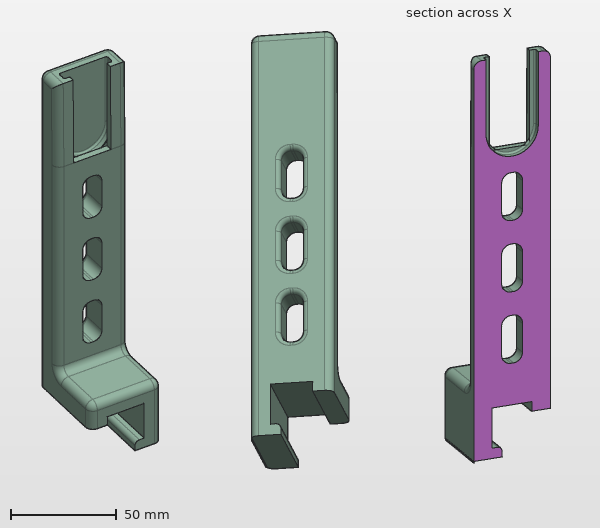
import cadquery as cq

LENGTH = 46.0
WIDTH = 40.0
HEIGHT = 204.0

POST_DEPTH = 16.0
POST_TOP_DEPTH = 15.3
DRAFT_START_Z = 156.0
FOOT_TOP_Z = 36.1
EDGE_RADIUS = 4.0

RAIL_WIDTH = 20.5
RAIL_CEILING_Z = 26.3
OPEN_SIDE_Z = 21.5
HOOK_TOP_Z = 6.1
HOOK_TIP_Y = 5.0
HOOK_RADIUS = 2.5
HOOK_BOTTOM_Z = 0.6
LIP_THICKNESS = 0.5

SLOT_WIDTH = 10.6
SLOT_LENGTH = 24.0
SLOT_CORNER_RADIUS = 4.7
SLOT_RIM_RADIUS = 2.5
SLOT_COUNT = 3
SLOT_PITCH = 36.3
LOWEST_SLOT_Z = 59.8
RIM_SEARCH_MARGIN = 0.2

CHANNEL_FRONT_X = 7.3
CHANNEL_BACK_X = 12.2
CHANNEL_WIDTH = 27.0
CHANNEL_EDGE_RADIUS = 1.0
NECK_WIDTH = 20.8
NECK_FLOOR_Z = DRAFT_START_Z
CHANNEL_FLOOR_Z = NECK_FLOOR_Z - (CHANNEL_WIDTH - NECK_WIDTH) / 2

HALF_WIDTH = WIDTH / 2


def make_body():
    """L-shaped body with rounded outer edges; the back edge on top stays sharp."""
    bend = EDGE_RADIUS
    body = (
        cq.Workplane("XZ")
        .moveTo(0, 0)
        .lineTo(LENGTH, 0)
        .lineTo(LENGTH, FOOT_TOP_Z)
        .lineTo(POST_DEPTH + bend, FOOT_TOP_Z)
        .radiusArc((POST_DEPTH, FOOT_TOP_Z + bend), bend)
        .lineTo(POST_DEPTH, DRAFT_START_Z)
        .lineTo(POST_TOP_DEPTH, HEIGHT)
        .lineTo(0, HEIGHT)
        .close()
        .extrude(HALF_WIDTH, both=True)
    )
    side_edges = body.faces("<Y or >Y").edges("not <Z")
    front_top_edge = body.faces("<X").edges(">Z")
    foot_end_edge = body.faces(">X").edges(">Z")
    return side_edges.add(front_top_edge).add(foot_end_edge).fillet(EDGE_RADIUS)


def make_rail_opening():
    """Everything removed along X to leave the rail slot and its hook."""
    half_rail = RAIL_WIDTH / 2
    return (
        cq.Workplane("YZ")
        .moveTo(-HALF_WIDTH, 0)
        .lineTo(-HALF_WIDTH, OPEN_SIDE_Z)
        .lineTo(-half_rail, OPEN_SIDE_Z)
        .lineTo(-half_rail, RAIL_CEILING_Z)
        .lineTo(half_rail, RAIL_CEILING_Z)
        .lineTo(half_rail, HOOK_TOP_Z)
        .lineTo(HOOK_TIP_Y + HOOK_RADIUS, HOOK_TOP_Z)
        .radiusArc((HOOK_TIP_Y, HOOK_TOP_Z - HOOK_RADIUS), -HOOK_RADIUS)
        .lineTo(HOOK_TIP_Y, HOOK_BOTTOM_Z)
        .lineTo(HALF_WIDTH, HOOK_BOTTOM_Z)
        .lineTo(HALF_WIDTH, 0)
        .close()
        .extrude(LENGTH)
    )


def make_lip():
    """Thin lip below the hook, on the flat part of the +Y side."""
    corner = (EDGE_RADIUS, HALF_WIDTH - LIP_THICKNESS, 0)
    return cq.Workplane("XY", origin=corner).box(
        LENGTH - 2 * EDGE_RADIUS, LIP_THICKNESS, HOOK_TOP_Z, centered=False
    )


def cut_slots(body):
    """Row of slots through the post, each with a rounded rim on the front face."""
    for index in range(SLOT_COUNT):
        center_z = LOWEST_SLOT_Z + index * SLOT_PITCH
        slot = (
            cq.Workplane("XY")
            .box(POST_DEPTH, SLOT_WIDTH, SLOT_LENGTH, centered=(False, True, True))
            .edges("|X")
            .fillet(SLOT_CORNER_RADIUS)
            .translate((0, 0, center_z))
        )
        body = body.cut(slot)
    rims = body.edges(
        cq.selectors.BoxSelector(
            (-RIM_SEARCH_MARGIN, -SLOT_WIDTH, LOWEST_SLOT_Z - SLOT_LENGTH),
            (RIM_SEARCH_MARGIN, SLOT_WIDTH, CHANNEL_FLOOR_Z),
        )
    )
    return rims.fillet(SLOT_RIM_RADIUS)


def make_channel():
    """Round-bottomed wide pocket plus the flat-bottomed neck behind it."""
    radius = CHANNEL_WIDTH / 2
    center_z = CHANNEL_FLOOR_Z + radius
    pocket = (
        cq.Workplane("YZ", origin=(CHANNEL_FRONT_X, 0, 0))
        .moveTo(-radius, HEIGHT + radius)
        .lineTo(-radius, center_z)
        .threePointArc((0, CHANNEL_FLOOR_Z), (radius, center_z))
        .lineTo(radius, HEIGHT + radius)
        .close()
        .extrude(CHANNEL_BACK_X - CHANNEL_FRONT_X)
        .faces("<X or >X")
        .edges()
        .fillet(CHANNEL_EDGE_RADIUS)
    )
    neck = cq.Workplane("XY", origin=(CHANNEL_BACK_X, 0, NECK_FLOOR_Z)).box(
        POST_DEPTH - CHANNEL_BACK_X, NECK_WIDTH, HEIGHT - NECK_FLOOR_Z, centered=(False, True, False)
    )
    return pocket.union(neck)


body = make_body().cut(make_rail_opening()).union(make_lip())
result = cut_slots(body).cut(make_channel())